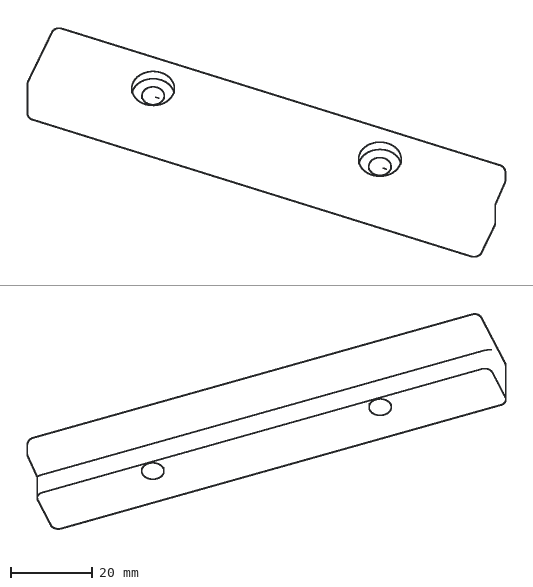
import cadquery as cq

LENGTH = 120.0
WIDTH = 20.0
HEIGHT = 14.0
EDGE_RADIUS = 2.0

LIP_OVERHANG = 7.0
LIP_TIP_Z = 7.5
LIP_ROOT_Z = 6.5

HOLE_SPACING = 60.0
HOLE_DIAMETER = 5.5
COUNTERBORE_DIAMETER = 10.5
COUNTERBORE_DEPTH = 3.0

FRONT_Y = -WIDTH / 2
LIP_TIP_Y = WIDTH / 2
LEG_BACK_Y = LIP_TIP_Y - LIP_OVERHANG


def make_bar():
    """Sharp-edged bar: the leg-and-lip profile extruded along X."""
    return (
        cq.Workplane("YZ")
        .moveTo(FRONT_Y, 0)
        .lineTo(LEG_BACK_Y, 0)
        .lineTo(LEG_BACK_Y, LIP_ROOT_Z)
        .lineTo(LIP_TIP_Y, LIP_TIP_Z)
        .lineTo(LIP_TIP_Y, HEIGHT)
        .lineTo(FRONT_Y, HEIGHT)
        .close()
        .extrude(LENGTH / 2, both=True)
    )


def round_edges(bar):
    """Round every outer edge; the bottom rim and the inner lip corner stay sharp."""
    bottom_rim = bar.faces("<Z").edges()
    inner_corner = bar.edges(cq.NearestToPointSelector((0, LEG_BACK_Y, LIP_ROOT_Z)))
    all_edges = bar.edges().objects
    sharp_edges = bottom_rim.objects + inner_corner.objects
    rounded = [e for e in all_edges if not any(e.isSame(s) for s in sharp_edges)]
    return bar.newObject(rounded).fillet(EDGE_RADIUS)


def drill_screw_holes(bar):
    """Cut the two counterbored holes through the leg from the top."""
    hole_centers = [(-HOLE_SPACING / 2, 0), (HOLE_SPACING / 2, 0)]
    return (
        bar.faces(">Z")
        .workplane(origin=(0, 0, HEIGHT))
        .pushPoints(hole_centers)
        .cboreHole(HOLE_DIAMETER, COUNTERBORE_DIAMETER, COUNTERBORE_DEPTH)
    )


result = drill_screw_holes(round_edges(make_bar()))